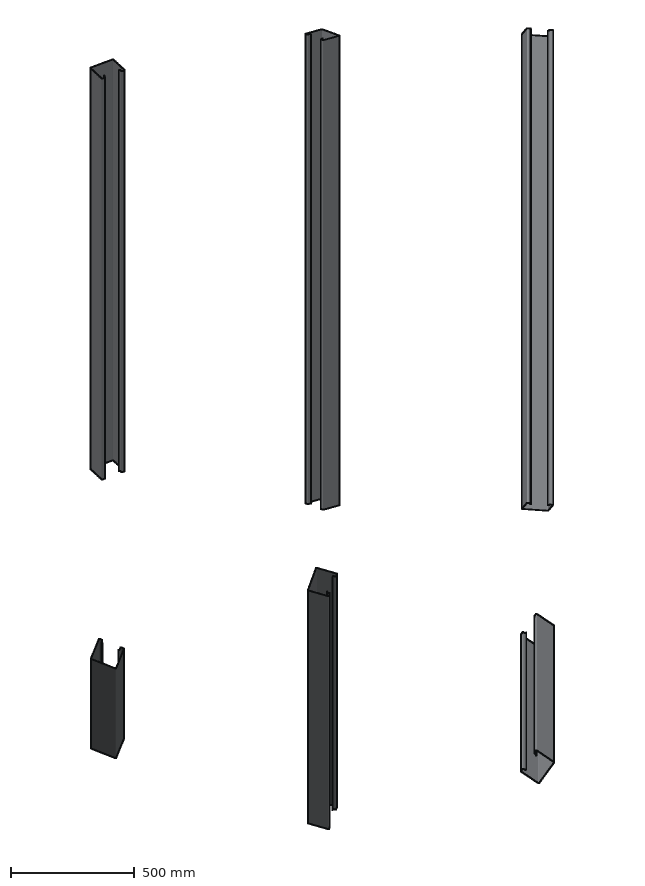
import cadquery as cq

length = 2000.0
depth = 90.0
width = 110.0
thickness = 1.0
outside_radius = 3.0
inside_radius = outside_radius - thickness
lip_width = 15.0
return_depth = 15.0
hook_height = 5.0

front_x = depth / 2
back_x = -front_x
side_y = width / 2
lip_y = side_y - lip_width
return_x = front_x - return_depth
return_outer_y = lip_y + thickness
hook_tip_y = return_outer_y - hook_height

half_section = [
    (back_x, 0),
    (back_x, side_y),
    (front_x, side_y),
    (front_x, lip_y),
    (return_x + thickness, lip_y),
    (return_x + thickness, hook_tip_y),
    (return_x, hook_tip_y),
    (return_x, return_outer_y),
    (front_x - thickness, return_outer_y),
    (front_x - thickness, side_y - thickness),
    (back_x + thickness, side_y - thickness),
    (back_x + thickness, 0),
]
half_channel = (
    cq.Workplane("XY")
    .workplane(offset=-length / 2)
    .polyline(half_section)
    .close()
    .extrude(length)
)


def round_edge(body, point, radius):
    """Fillet the one vertical edge nearest to the given XY point."""
    return body.edges("|Z").edges(cq.NearestToPointSelector((*point, 0))).fillet(radius)


bends = [
    ((back_x, side_y), (back_x + thickness, side_y - thickness)),
    ((front_x, side_y), (front_x - thickness, side_y - thickness)),
    ((front_x, lip_y), (front_x - thickness, return_outer_y)),
    ((return_x, return_outer_y), (return_x + thickness, lip_y)),
]
for outer_corner, inner_corner in bends:
    half_channel = round_edge(half_channel, inner_corner, inside_radius)
    half_channel = round_edge(half_channel, outer_corner, outside_radius)

result = half_channel.union(half_channel.mirror("XZ")).clean()